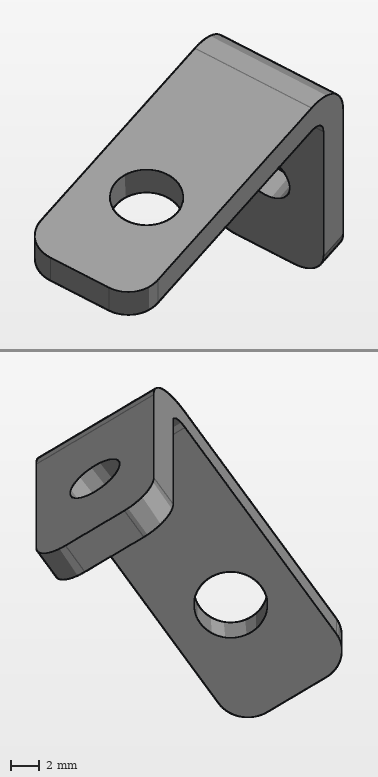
import cadquery as cq

width = 10.0
depth = 26.0
height = 20.0
thickness = 2.5

inner_bend_radius = 1.5
outer_bend_radius = inner_bend_radius + thickness
corner_radius = 2.5

top_hole_diameter = 5.2
top_hole_from_end = 8.5
back_hole_diameter = 4.2
back_hole_from_end = 8.0


def bent_strip():
    """L-shaped strip, centred on X, with its free ends at Y = 0 and Z = 0."""
    profile = (
        cq.Workplane("YZ")
        .moveTo(0, height)
        .lineTo(depth - outer_bend_radius, height)
        .radiusArc((depth, height - outer_bend_radius), outer_bend_radius)
        .lineTo(depth, 0)
        .lineTo(depth - thickness, 0)
        .lineTo(depth - thickness, height - outer_bend_radius)
        .radiusArc((depth - outer_bend_radius, height - thickness), -inner_bend_radius)
        .lineTo(0, height - thickness)
        .close()
    )
    return profile.extrude(width / 2, both=True)


def round_free_corners(body):
    """Round the two outer corners at the free end of each leg."""
    body = body.faces("<Y").edges("|Z").fillet(corner_radius)
    return body.faces("<Z").edges("|Y").fillet(corner_radius)


def top_hole_cutter():
    """Vertical cylinder through the horizontal leg."""
    return (
        cq.Workplane("XY", origin=(0, top_hole_from_end, height - thickness))
        .circle(top_hole_diameter / 2)
        .extrude(thickness)
    )


def back_hole_cutter():
    """Cylinder along Y through the vertical leg."""
    return (
        cq.Workplane("XZ", origin=(0, depth, back_hole_from_end))
        .circle(back_hole_diameter / 2)
        .extrude(thickness)
    )


bracket = round_free_corners(bent_strip())
result = bracket.cut(top_hole_cutter()).cut(back_hole_cutter())